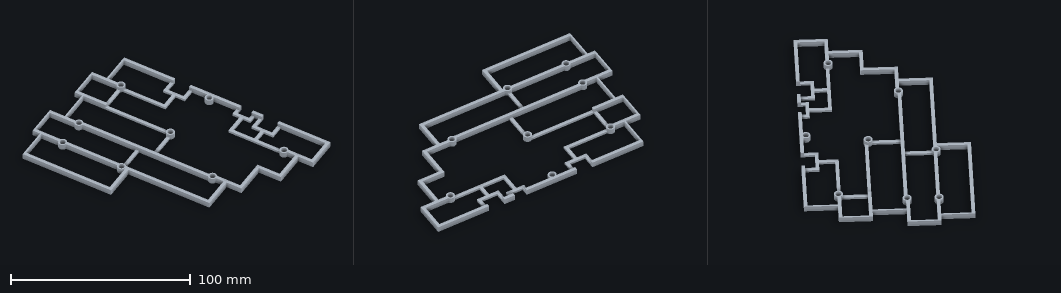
import cadquery as cq

pitch = 19.0
rows = 5
depth = rows * pitch
width = 147.6

full_height = 3.5
low_height = 1.5
thin_wall = 1.0
wall = 2 * thin_wall

boss_diameter = 5.0
hole_diameter = 3.4

left_edges = [0.75 * pitch, 0.25 * pitch, 0.5 * pitch, 0, 0.25 * pitch]
right_edges = [width, 7.25 * pitch, 6.5 * pitch, 6 * pitch, 3.25 * pitch]

large_notch_width = 10.0
large_notch_depth = 8.0
small_notch_width = 7.7
small_notch_depth = 4.5
left_notch_x = 2.75 * pitch
middle_notch_x = 93.9
right_notch_x = 5.75 * pitch
notches = [
    (left_notch_x, large_notch_width, large_notch_depth),
    (middle_notch_x, small_notch_width, small_notch_depth),
    (right_notch_x, large_notch_width, large_notch_depth),
]


def row_line(row):
    """Y of the grid line that lies the given number of rows from the back."""
    return depth - row * pitch


boss_offset = 0.6
back_boss_inset = 3.5
row_1_left_boss = (1.25 * pitch, row_line(1) - boss_offset)
back_boss = (3.75 * pitch, depth - back_boss_inset)
row_1_right_boss = (6.75 * pitch, row_line(1) + boss_offset)
row_2_boss = (3.5 * pitch, row_line(2))
row_3_left_boss = (pitch, row_line(3) - boss_offset)
row_3_right_boss = (5.5 * pitch, row_line(3) + boss_offset)
row_4_left_boss = (pitch, row_line(4) + boss_offset)
row_4_right_boss = (3 * pitch, row_line(4) + boss_offset)
bosses = [
    row_1_left_boss, back_boss, row_1_right_boss, row_2_boss,
    row_3_left_boss, row_3_right_boss, row_4_left_boss, row_4_right_boss,
]


def bar(x_min, x_max, y_min, y_max, height):
    """Rectangular bar standing on the base plane."""
    return cq.Workplane("XY").box(
        x_max - x_min, y_max - y_min, height, centered=False
    ).translate((x_min, y_min, 0))


def bar_above(x_min, x_max, y, height=full_height):
    """Bar along X whose front face is at y."""
    return bar(x_min, x_max, y, y + wall, height)


def bar_below(x_min, x_max, y, height=full_height):
    """Bar along X whose back face is at y."""
    return bar(x_min, x_max, y - wall, y, height)


def stem(x, y_min, y_max):
    """Low bar along Y, centred on x."""
    return bar(x - wall / 2, x + wall / 2, y_min, y_max, low_height)


def side_walls():
    """Thin walls on the left end and full walls on the right end of every row."""
    walls = []
    for row in range(rows):
        y_min, y_max = row_line(row + 1), row_line(row)
        left, right = left_edges[row], right_edges[row]
        walls.append(bar(left, left + thin_wall, y_min, y_max, full_height))
        walls.append(bar(right - wall, right, y_min, y_max, full_height))
    return walls


def back_wall():
    """Back wall, interrupted by the notches."""
    starts = [left_edges[0]] + [x + clear / 2 for x, clear, _ in notches]
    ends = [x - clear / 2 for x, clear, _ in notches] + [width]
    return [bar_below(start, end, depth) for start, end in zip(starts, ends)]


def notch_brackets():
    """Low U-shaped bracket round each notch."""
    brackets = []
    for x, clear, notch_depth in notches:
        half_outer = clear / 2 + wall
        floor_y = depth - notch_depth
        block = bar(x - half_outer, x + half_outer, floor_y - wall, depth - wall, low_height)
        opening = bar(x - clear / 2, x + clear / 2, floor_y, depth, low_height)
        brackets.append(block.cut(opening))
    return brackets


def full_height_row_bars():
    """Full-height bars along the row lines."""
    return [
        bar_below(left_edges[1], row_1_left_boss[0], row_line(1)),
        bar_above(row_1_right_boss[0], right_edges[0], row_line(1)),
        bar_above(left_edges[1], row_1_left_boss[0] + wall / 2, row_line(2)),
        bar_above(right_edges[2] - wall, right_edges[1], row_line(2)),
        bar_below(left_edges[3], row_3_left_boss[0], row_line(3)),
        bar_above(row_3_left_boss[0], row_3_right_boss[0], row_line(3) - wall / 2),
        bar_above(row_3_right_boss[0], right_edges[2], row_line(3)),
        bar_above(left_edges[3], right_edges[3], row_line(4)),
        bar_above(left_edges[4], right_edges[4], row_line(5)),
    ]


def low_row_bars():
    """Low bars along the row lines."""
    return [
        bar_below(row_1_left_boss[0], left_notch_x + wall / 2, row_line(1), low_height),
        bar_above(middle_notch_x - wall / 2, row_1_right_boss[0], row_line(1), low_height),
        bar_above(row_1_left_boss[0], row_2_boss[0], row_line(2), low_height),
    ]


def stems():
    """Low bars along Y that tie the brackets, bosses and row bars together."""
    return [
        stem(left_notch_x, row_line(1) - wall, depth - large_notch_depth - wall),
        stem(middle_notch_x, row_line(1), depth - small_notch_depth - wall),
        stem(right_notch_x, row_line(1), depth - large_notch_depth - wall),
        stem(row_1_left_boss[0], row_line(2), row_1_left_boss[1]),
        stem(row_2_boss[0], row_line(3), row_2_boss[1]),
        stem(row_4_right_boss[0], row_4_right_boss[1], row_line(3)),
    ]


frame_bars = (
    side_walls() + back_wall() + notch_brackets()
    + full_height_row_bars() + low_row_bars() + stems()
)
frame = frame_bars[0]
for frame_bar in frame_bars[1:]:
    frame = frame.union(frame_bar)

boss_points = cq.Workplane("XY").pushPoints(bosses)
frame = frame.union(boss_points.circle(boss_diameter / 2).extrude(full_height))
result = frame.cut(boss_points.circle(hole_diameter / 2).extrude(full_height))